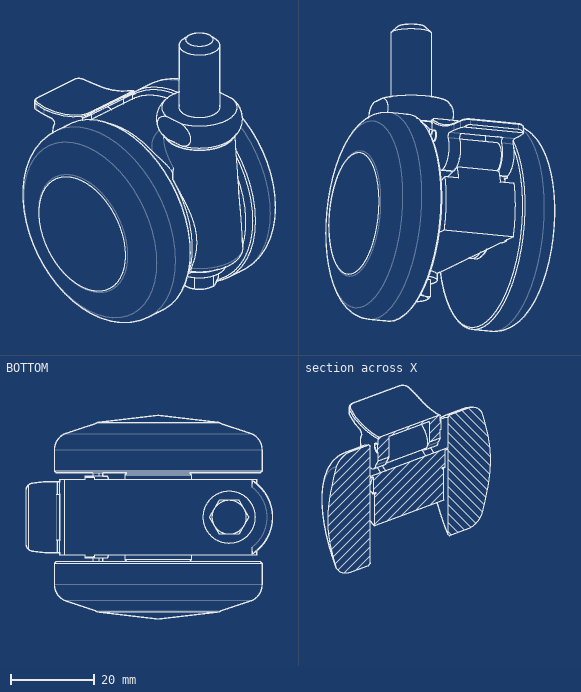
import cadquery as cq
import math


clear_size = 30.6

wheel_radius = 25.0
wheel_inner_y = 10.6
wheel_inner_chamfer = 0.45
tread_end_y = 16.15
shoulder_radius = 22.6
shoulder_y = 20.05
cap_seat_y = 22.5
cap_rim_y = 22.8
cap_seat_radius = 15.15
cap_radius = 14.7
cap_apex_y = 24.52

housing_radius = 23.7
housing_half_width = 9.1
housing_bottom_z = -7.4
axle_boss_radius = 8.0
axle_boss_chamfer = 0.45

post_x = 17.05
neck_radius = 8.35
neck_top_z = 26.55
neck_bottom_z = 25.6
post_top_radius = 8.5
post_bottom_radius = 10.55
post_lip_round = 1.4
post_root_fillet = 2.3

notch_floor_z = 5.65
notch_sill_z = 8.6
notch_floor_slope = 0.25
notch_wall_x = -14.0
notch_wall_bend_z = 13.5
notch_wall_floor_x = -16.7
notch_wall_slope = (notch_wall_x - notch_wall_floor_x) / (notch_wall_bend_z - notch_floor_z)

lug_bottom_z = 3.0
lug_width = 2.1
lug_outer_y = 9.9
lug_chamfer = 0.7
peg_bottom_z = 8.6
peg_top_z = 11.3
peg_width = 1.45
foot_outer_y = 9.6
foot_width = 2.3

stud_radius = 4.9
stud_top_radius = 3.3
stud_top_z = 51.5
stud_chamfer_height = 1.5
collar_height = 6.1
collar_face_radius = 9.0
collar_radius = 10.3
collar_flat_half = 8.65
shank_radius = 3.05
washer_radius = 6.3
washer_top_z = -9.5
washer_bottom_z = -10.95
bolt_bottom_z = -15.4
bolt_across_flats = 8.2
bolt_bevel_height = 0.45

lever_half_width = 8.6
lever_tip_x = -31.8
lever_back_x = -12.6
lever_tip_top_z = 18.4
lever_back_top_z = 22.3
lever_bottom_z = 16.3
lever_back_thickness = 0.8
lever_edge_chamfer = 0.3
lever_tip_chamfer = 0.6
lever_tip_half_width = 8.0
lever_taper_x = -27.15
lever_tip_corner_radius = 1.9
lever_back_corner_radius = 1.7
lever_top_mid = (-22.7, 18.5)
lever_underside_mid = (-18.35, 18.3)
lever_underside_bend_x = -24.5
arm_inner_y = 5.5
arm_radius = 3.8
arm_back_x = -14.15
arm_back_bend_z = 15.7
arm_back_top_z = 20.8
arm_overlap_z = 16.7
arm_throat_mid = (-23.8, 15.9)
arm_throat_end = (-23.65, 15.15)
arm_center_x = -20.3
arm_center_z = 11.7
barrel_radius = 3.7
barrel_center_x = -19.9
barrel_center_z = 12.25
pivot_pad_radius = 1.4
pivot_pad_x = -15.45
pivot_pad_z = 17.3
pivot_pad_outer_y = 8.8


def notch_wall_x_at(z):
    """X of the sloping notch wall at height z."""
    return notch_wall_floor_x + notch_wall_slope * (z - notch_floor_z)


def side_prism(outline, y_start, y_end):
    """Extrude an XZ outline from y_start to y_end."""
    return (
        cq.Workplane("XZ", origin=(0, y_start, 0))
        .polyline(outline)
        .close()
        .extrude(y_start - y_end)
    )


def side_cylinder(radius, half_length, x=0, z=0):
    """Cylinder along Y, centred on Y = 0."""
    return cq.Workplane("XZ").center(x, z).circle(radius).extrude(half_length, both=True)


def make_wheel(side):
    """Wheel on the +Y (side = 1) or -Y (side = -1) end of the axle line."""
    profile = (
        cq.Workplane("XY")
        .moveTo(0, wheel_inner_y)
        .lineTo(wheel_radius - wheel_inner_chamfer, wheel_inner_y)
        .lineTo(wheel_radius, wheel_inner_y + wheel_inner_chamfer)
        .lineTo(wheel_radius, tread_end_y)
        .tangentArcPoint((shoulder_radius, shoulder_y), relative=False)
        .lineTo(cap_seat_radius, cap_seat_y)
        .lineTo(cap_radius, cap_rim_y)
        .lineTo(0, cap_apex_y)
        .close()
    )
    wheel = profile.revolve(360, (0, 0, 0), (0, 1, 0))
    return wheel if side > 0 else wheel.mirror("XZ")


def above_bottom(half_width):
    """Block of the given half width reaching up from the housing underside."""
    return (
        cq.Workplane("XY", origin=(0, 0, housing_bottom_z))
        .box(4 * clear_size, 2 * half_width, 2 * clear_size, centered=(True, True, False))
    )


def make_post():
    """Tapered swivel post with a rounded bottom rim and a short straight neck."""
    post = (
        cq.Workplane("XZ", origin=(post_x, 0, 0))
        .moveTo(0, housing_bottom_z)
        .lineTo(post_bottom_radius, housing_bottom_z)
        .lineTo(post_top_radius, neck_bottom_z)
        .lineTo(neck_radius, neck_bottom_z)
        .lineTo(neck_radius, neck_top_z)
        .lineTo(0, neck_top_z)
        .close()
        .revolve(360, (0, 0, 0), (0, 1, 0))
    )
    return post.faces("<Z").edges().fillet(post_lip_round)


def make_root_blend():
    """Drum-side half of the post, filleted into a drum wide enough to surround it.

    The curve where the cone meets the drum is the only spline edge.
    """
    drum_half_width = post_bottom_radius + 2 * post_root_fillet
    drum = side_cylinder(housing_radius, drum_half_width).intersect(above_bottom(drum_half_width))
    height = neck_bottom_z - housing_bottom_z
    cone = cq.Workplane(cq.Solid.makeCone(post_bottom_radius, post_top_radius, height))
    body = drum.union(cone.translate((post_x, 0, housing_bottom_z)))
    body = body.edges("%BSPLINE").fillet(post_root_fillet)
    drum_side = above_bottom(housing_half_width).translate((post_x - 2 * clear_size, 0, 0))
    return body.intersect(drum_side)


def make_housing_shell():
    """Drum and post with a blended root, trimmed to flat sides and a flat underside."""
    drum = side_cylinder(housing_radius, housing_half_width)
    body = drum.union(make_post()).intersect(above_bottom(housing_half_width))
    return body.union(make_root_blend())


def make_notch(lip_z, y_start, y_end):
    """Brake recess in front of the notch wall; its floor drops inward from lip_z at the drum face."""
    lip_x = -math.sqrt(housing_radius**2 - lip_z**2)
    floor_z_at_origin = lip_z + notch_floor_slope * lip_x
    corner_x = notch_wall_x_at(floor_z_at_origin) / (1 + notch_wall_slope * notch_floor_slope)
    outline = [
        (corner_x, floor_z_at_origin - notch_floor_slope * corner_x),
        (notch_wall_x, notch_wall_bend_z),
        (notch_wall_x, clear_size),
        (-clear_size, clear_size),
        (-clear_size, floor_z_at_origin + notch_floor_slope * clear_size),
    ]
    return side_prism(outline, y_start, y_end)


def sloped_bar(bottom_z, top_z, width, outer_y):
    """Bar on the +Y housing side whose front lies in the notch wall plane."""
    front_bottom_x = notch_wall_x_at(bottom_z)
    front_top_x = notch_wall_x_at(top_z)
    outline = [
        (front_bottom_x, bottom_z),
        (front_top_x, top_z),
        (front_top_x + width, top_z),
        (front_bottom_x + width, bottom_z),
    ]
    return side_prism(outline, housing_half_width, outer_y)


def make_lug():
    """Stop lug with a chamfered top, an outer peg and a thin foot below it."""
    lug = sloped_bar(lug_bottom_z, notch_wall_bend_z, lug_width, lug_outer_y)
    lug = lug.faces(">Y").edges(">Z").chamfer(lug_chamfer)
    peg = sloped_bar(peg_bottom_z, peg_top_z, peg_width, wheel_inner_y)
    foot_left = notch_wall_x_at(lug_bottom_z)
    foot_outline = [
        (foot_left, housing_bottom_z),
        (foot_left, lug_bottom_z),
        (foot_left + foot_width, lug_bottom_z),
        (foot_left + foot_width, housing_bottom_z),
    ]
    foot = side_prism(foot_outline, housing_half_width, foot_outer_y)
    return lug.union(peg).union(foot)


def make_housing():
    housing = make_housing_shell()
    housing = housing.cut(make_notch(notch_sill_z, -arm_inner_y, arm_inner_y))
    arm_slot = make_notch(notch_floor_z, arm_inner_y, clear_size)
    housing = housing.cut(arm_slot).cut(arm_slot.mirror("XZ"))
    bosses = side_cylinder(axle_boss_radius, wheel_inner_y).faces("<Y or >Y").chamfer(axle_boss_chamfer)
    bosses = bosses.cut(side_cylinder(axle_boss_radius, housing_half_width))
    lug = make_lug()
    housing = housing.union(bosses).union(lug).union(lug.mirror("XZ"))
    shank_hole = cq.Workplane("XY").center(post_x, 0).circle(shank_radius).extrude(2 * clear_size, both=True)
    return housing.cut(shank_hole)


def make_stem():
    """Threaded stud, flatted collar, shank through the post, washer and hex head."""
    collar_top_z = neck_top_z + collar_height
    stem = (
        cq.Workplane("XZ", origin=(post_x, 0, 0))
        .moveTo(0, stud_top_z)
        .lineTo(stud_top_radius, stud_top_z)
        .lineTo(stud_radius, stud_top_z - stud_chamfer_height)
        .lineTo(stud_radius, collar_top_z)
        .lineTo(collar_face_radius, collar_top_z)
        .threePointArc((collar_radius, neck_top_z + collar_height / 2), (collar_face_radius, neck_top_z))
        .lineTo(shank_radius, neck_top_z)
        .lineTo(shank_radius, washer_top_z)
        .lineTo(washer_radius, washer_top_z)
        .lineTo(washer_radius, washer_bottom_z)
        .lineTo(0, washer_bottom_z)
        .close()
        .revolve(360, (0, 0, 0), (0, 1, 0))
    )
    flats = cq.Workplane("XY").box(4 * clear_size, 2 * collar_flat_half, 4 * clear_size)
    return stem.intersect(flats).union(make_hex_head())


def make_hex_head():
    """Hex head with bevelled lower corners, two flats facing +Y and -Y."""
    head_height = washer_bottom_z - bolt_bottom_z
    corner_diameter = bolt_across_flats / math.cos(math.pi / 6)
    corner_radius = corner_diameter / 2
    head = (
        cq.Workplane("XY", origin=(post_x, 0, bolt_bottom_z))
        .polygon(6, corner_diameter)
        .extrude(head_height)
    )
    bevel = (
        cq.Workplane("XY", origin=(post_x, 0, bolt_bottom_z))
        .circle(corner_radius)
        .extrude(head_height)
        .faces("<Z")
        .chamfer(bolt_bevel_height, corner_radius - bolt_across_flats / 2)
    )
    return head.intersect(bevel)


def make_lever_plate():
    """Curved finger plate with rounded corners and a softened top edge."""
    side = (
        cq.Workplane("XZ")
        .moveTo(lever_tip_x, lever_tip_top_z)
        .threePointArc(lever_top_mid, (lever_back_x, lever_back_top_z))
        .lineTo(lever_back_x, lever_back_top_z - lever_back_thickness)
        .threePointArc(lever_underside_mid, (lever_underside_bend_x, lever_bottom_z))
        .lineTo(lever_tip_x + lever_tip_chamfer, lever_bottom_z)
        .lineTo(lever_tip_x, lever_bottom_z + lever_tip_chamfer)
        .close()
        .extrude(lever_half_width, both=True)
    )
    plan = (
        cq.Workplane("XY")
        .moveTo(lever_back_x, 0)
        .lineTo(lever_back_x, lever_half_width)
        .lineTo(lever_taper_x, lever_half_width)
        .lineTo(lever_tip_x, lever_tip_half_width)
        .lineTo(lever_tip_x, 0)
        .close()
        .extrude(clear_size)
    )
    plan = plan.union(plan.mirror("XZ"))
    plan = plan.edges("|Z").edges("<X").fillet(lever_tip_corner_radius)
    plan = plan.edges("|Z").edges(">X").fillet(lever_back_corner_radius)
    plate = side.intersect(plan)
    top_middle = (lever_top_mid[0], 0, lever_top_mid[1])
    top = plate.faces(cq.selectors.NearestToPointSelector(top_middle))
    return top.edges().chamfer(lever_edge_chamfer)


def arm_point(angle):
    """XZ point on the arm's round end, angle in degrees from +X towards +Z."""
    turn = math.radians(angle)
    return (arm_center_x + arm_radius * math.cos(turn), arm_center_z + arm_radius * math.sin(turn))


def make_lever():
    """Finger plate carried by two side arms that a round barrel joins."""
    arm = (
        cq.Workplane("XZ", origin=(0, lever_half_width, 0))
        .moveTo(lever_underside_bend_x, arm_overlap_z)
        .lineTo(lever_underside_bend_x, lever_bottom_z)
        .threePointArc(arm_throat_mid, arm_throat_end)
        .threePointArc(arm_point(180), arm_point(-90))
        .threePointArc(arm_point(-60), arm_point(-10))
        .lineTo(arm_back_x, arm_back_bend_z)
        .lineTo(arm_back_x, arm_back_top_z)
        .close()
        .extrude(lever_half_width - arm_inner_y)
    )
    barrel = side_cylinder(barrel_radius, arm_inner_y, barrel_center_x, barrel_center_z)
    pivot_pads = side_cylinder(pivot_pad_radius, pivot_pad_outer_y, pivot_pad_x, pivot_pad_z)
    pad_gap = side_cylinder(pivot_pad_radius, arm_inner_y, pivot_pad_x, pivot_pad_z)
    pivot_pads = pivot_pads.cut(pad_gap)
    return make_lever_plate().union(barrel).union(arm).union(arm.mirror("XZ")).union(pivot_pads)


housing = make_housing()
stem = make_stem()
lever = make_lever()
wheels = [make_wheel(side) for side in (1, -1)]

result = cq.Compound.makeCompound(
    [housing.val(), stem.val(), lever.val(), *[wheel.val() for wheel in wheels]]
)